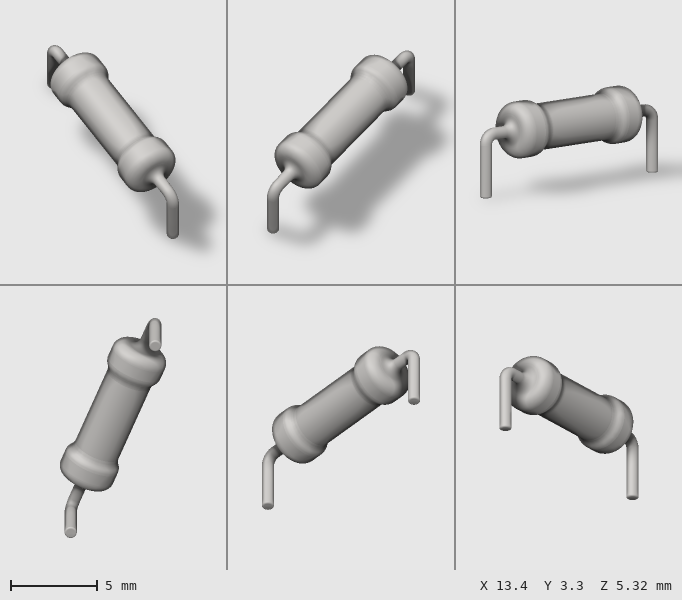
import cadquery as cq
import math

body_length = 9.0
cap_radius = 1.65
barrel_radius = 1.35
cap_length = 1.85
cap_outer_round = 0.6
cap_inner_round = 0.55
barrel_fillet = 0.65

lead_pitch = 12.7
lead_diameter = 0.7
lead_bend_radius = 0.6
lead_drop = 3.67
lead_root_fillet = 0.5
lead_tip_round = 0.1

lead_radius = lead_diameter / 2
half_pitch = lead_pitch / 2
half_body = body_length / 2
fillet_start_x = half_body + lead_root_fillet
bend_start_x = half_pitch - lead_bend_radius

inner_center = (half_body - cap_length + cap_inner_round, cap_radius - cap_inner_round)
blend_height = barrel_radius + barrel_fillet - inner_center[1]
blend_run = math.sqrt((cap_inner_round + barrel_fillet)**2 - blend_height**2)
half_barrel = inner_center[0] - blend_run
blend_center = (half_barrel, barrel_radius + barrel_fillet)

DIAGONAL = math.sqrt(0.5)


def arc_point(center, radius, direction):
    """Point at the given radius from center along a unit direction."""
    return (center[0] + radius * direction[0], center[1] + radius * direction[1])


def make_barrel():
    """Plain cylinder between the two concave blends."""
    return cq.Workplane("YZ").circle(barrel_radius).extrude(half_barrel, both=True)


def make_cap():
    """Revolve the +X cap with its blend to the barrel and the straight lead root."""
    root_center = (fillet_start_x, lead_radius + lead_root_fillet)
    outer_center = (half_body - cap_outer_round, cap_radius - cap_outer_round)
    turn = math.atan2(blend_run, blend_height)
    toward_blend = (-math.sin(turn), math.cos(turn))
    half_turn = (-math.sin(turn / 2), math.cos(turn / 2))
    from_blend = (-half_turn[0], -half_turn[1])

    profile = (
        cq.Workplane("XZ")
        .moveTo(half_barrel, 0)
        .lineTo(bend_start_x, 0)
        .lineTo(bend_start_x, lead_radius)
        .lineTo(fillet_start_x, lead_radius)
        .threePointArc(
            arc_point(root_center, lead_root_fillet, (-DIAGONAL, -DIAGONAL)),
            (half_body, root_center[1]),
        )
        .lineTo(half_body, outer_center[1])
        .threePointArc(
            arc_point(outer_center, cap_outer_round, (DIAGONAL, DIAGONAL)),
            (outer_center[0], cap_radius),
        )
        .lineTo(inner_center[0], cap_radius)
        .threePointArc(
            arc_point(inner_center, cap_inner_round, half_turn),
            arc_point(inner_center, cap_inner_round, toward_blend),
        )
        .threePointArc(
            arc_point(blend_center, barrel_fillet, from_blend),
            (half_barrel, barrel_radius),
        )
        .close()
    )
    return profile.revolve(360, (0, 0, 0), (1, 0, 0))


def make_bent_lead():
    """Sweep the +X lead through its bend and down to a rounded tip."""
    bend_center = (bend_start_x, -lead_bend_radius)
    path = (
        cq.Workplane("XZ")
        .moveTo(bend_start_x, 0)
        .threePointArc(
            arc_point(bend_center, lead_bend_radius, (DIAGONAL, DIAGONAL)),
            (half_pitch, -lead_bend_radius),
        )
        .lineTo(half_pitch, -lead_drop)
    )
    wire_section = cq.Workplane("YZ").workplane(offset=bend_start_x).circle(lead_radius)
    return wire_section.sweep(path).faces("<Z").edges().fillet(lead_tip_round)


end = make_cap().union(make_bent_lead())
result = make_barrel().union(end).union(end.mirror("YZ")).clean()